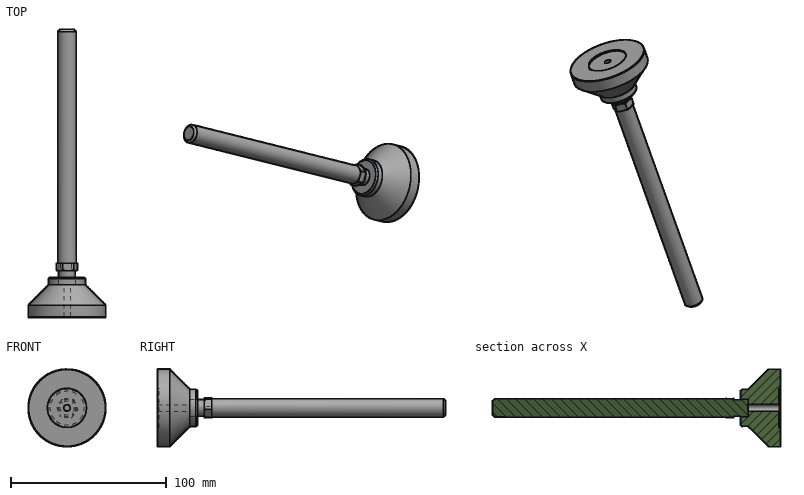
import cadquery as cq
import math

total_length = 185.0

foot_diameter = 50.0
rim_height = 8.0
collar_diameter = 24.0
collar_start = 21.0
foot_height = 26.0
collar_chamfer = 1.1
rim_chamfer = 0.4
recess_diameter = 25.2
recess_depth = 1.0
centre_hole_diameter = 4.0

rod_diameter = 12.0
rod_chamfer = 1.5
neck_diameter = 11.0
hex_across_flats = rod_diameter
hex_start = 30.0
hex_end = 35.0
hex_chamfer = 0.7
hex_turn = 8.0

socket_floor = collar_start

base = -total_length / 2


def section_at(height):
    """Workplane square to the Y axis, facing +Y, at a height above the underside."""
    origin = (0, base + height, 0)
    return cq.Workplane(cq.Plane(origin=origin, xDir=(1, 0, 0), normal=(0, 1, 0)))


def cylinder(diameter, start, end):
    return section_at(start).circle(diameter / 2).extrude(end - start)


def make_foot():
    foot_radius = foot_diameter / 2
    collar_radius = collar_diameter / 2
    outline = [
        (0, 0),
        (foot_radius - rim_chamfer, 0),
        (foot_radius, rim_chamfer),
        (foot_radius, rim_height),
        (collar_radius, collar_start),
        (collar_radius, foot_height - collar_chamfer),
        (collar_radius - collar_chamfer, foot_height),
        (0, foot_height),
    ]
    foot = (
        cq.Workplane("XY", origin=(0, base, 0))
        .polyline(outline)
        .close()
        .revolve(360, (0, 0, 0), (0, 1, 0))
    )
    recess = cylinder(recess_diameter, 0, recess_depth)
    centre_hole = cylinder(centre_hole_diameter, 0, socket_floor)
    socket = cylinder(neck_diameter, socket_floor, foot_height)
    return foot.cut(recess).cut(centre_hole).cut(socket)


def make_hexagon():
    """Wrench hexagon with its corners bevelled on the side nearest the foot."""
    across_corners = hex_across_flats / math.cos(math.pi / 6)
    height = hex_end - hex_start
    prism = section_at(hex_start).polygon(6, across_corners).extrude(height)
    prism = prism.rotate((0, 0, 0), (0, 1, 0), hex_turn)
    bevel = cylinder(across_corners, hex_start, hex_end).faces("<Y").chamfer(hex_chamfer)
    return prism.intersect(bevel)


def make_stud():
    neck = cylinder(neck_diameter, socket_floor, hex_start)
    rod = cylinder(rod_diameter, hex_end, total_length).faces(">Y").chamfer(rod_chamfer)
    return neck.union(make_hexagon()).union(rod)


foot = make_foot()
stud = make_stud()

result = cq.Compound.makeCompound([foot.val(), stud.val()])